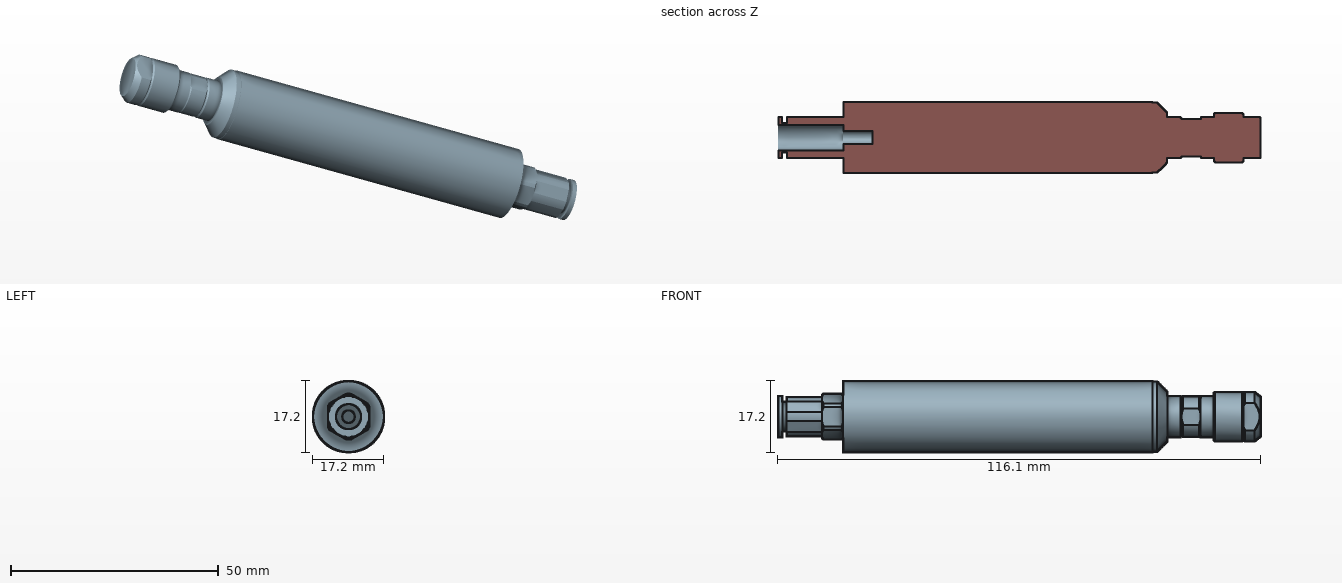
import cadquery as cq
import math

length = 116.1
edge_chamfer = 0.3

collar_dia = 10.0
collar_end = 1.0
neck_dia = 7.2
grip_start = 2.1
grip_dia = 10.0
grip_across_flats = 9.5
nut_start = 10.6
nut_dia = 11.0
nut_across_flats = 10.0
tube_bore_dia = 6.0
air_bore_dia = 3.0
air_bore_depth = 7.0

body_start = 15.7
body_dia = 17.2
body_end = 90.0
nose_dia = 17.0
cone_start = 91.1
cone_end_dia = 12.0
cone_end = cone_start + (nose_dia - cone_end_dia) / 2

spindle_dia = 10.0
wrench_start = 97.1
wrench_end = 101.6
wrench_dia = 9.9
wrench_across_flats = 9.0

chuck_dia = 12.0
sleeve_start = 104.7
chuck_nut_start = 111.9
chuck_nut_across_flats = 10.0
chuck_cone_start = 114.6
chuck_end_dia = 9.5


def rod(start, end, diameter):
    """Round bar along X from one X position to another."""
    return cq.Workplane("YZ", origin=(start, 0, 0)).circle(diameter / 2).extrude(end - start)


def cone(start, end, start_dia, end_dia):
    """Truncated cone along X from one X position to another."""
    start_circle = cq.Workplane("YZ", origin=(start, 0, 0)).circle(start_dia / 2)
    return start_circle.workplane(offset=end - start).circle(end_dia / 2).loft(ruled=True)


def hexagon(start, end, across_flats, turn):
    """Hexagonal bar along X; with turn = 0 two of its corners lie on the Y axis."""
    across_corners = across_flats / math.cos(math.radians(30))
    bar = cq.Workplane("YZ", origin=(start, 0, 0)).polygon(6, across_corners).extrude(end - start)
    return bar.rotate((0, 0, 0), (1, 0, 0), turn)


def with_two_flats(bar, start, end, across_flats):
    """Trim a bar along X so that it has flats facing -Y and +Y."""
    slab = cq.Workplane("XY").box(end - start, across_flats, body_dia)
    return bar.intersect(slab.translate(((start + end) / 2, 0, 0)))


def make_connector():
    collar = rod(0, collar_end, collar_dia)
    neck = rod(collar_end, grip_start, neck_dia)
    grip = rod(grip_start, nut_start, grip_dia)
    grip = grip.intersect(hexagon(grip_start, nut_start, grip_across_flats, 0))
    nut = rod(nut_start, body_start, nut_dia).faces("<X or >X").chamfer(edge_chamfer)
    nut = nut.intersect(hexagon(nut_start, body_start, nut_across_flats, 30))
    return collar.union(neck).union(grip).union(nut)


def make_body():
    barrel = rod(body_start, body_end, body_dia)
    nose = rod(body_end, cone_start, nose_dia)
    nose_cone = cone(cone_start, cone_end, nose_dia, cone_end_dia)
    return barrel.union(nose).union(nose_cone)


def make_spindle():
    front = rod(cone_end, wrench_start, spindle_dia).faces(">X").chamfer(edge_chamfer)
    wrench = rod(wrench_start, wrench_end, wrench_dia).faces("<X or >X").chamfer(edge_chamfer)
    wrench = with_two_flats(wrench, wrench_start, wrench_end, wrench_across_flats)
    rear = rod(wrench_end, sleeve_start, spindle_dia)
    return front.union(wrench).union(rear)


def make_chuck():
    sleeve = rod(sleeve_start, chuck_nut_start, chuck_dia).faces("<X or >X").chamfer(edge_chamfer)
    nut = rod(chuck_nut_start, chuck_cone_start, chuck_dia).faces("<X").chamfer(edge_chamfer)
    nut = nut.union(cone(chuck_cone_start, length, chuck_dia, chuck_end_dia))
    nut = with_two_flats(nut, chuck_nut_start, length, chuck_nut_across_flats)
    return sleeve.union(nut)


def make_bores():
    tube_bore = rod(0, body_start, tube_bore_dia)
    air_bore = rod(body_start, body_start + air_bore_depth, air_bore_dia)
    return tube_bore.union(air_bore)


solid = make_connector().union(make_body()).union(make_spindle()).union(make_chuck())
result = solid.cut(make_bores())